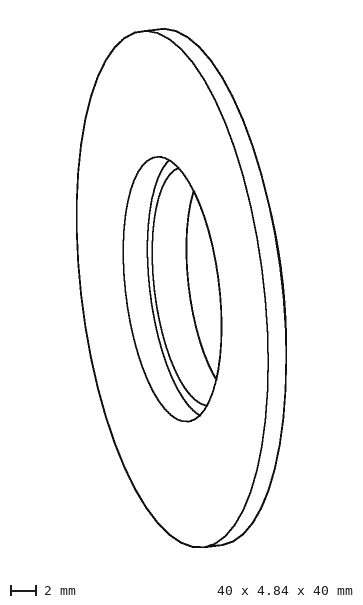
import cadquery as cq
import math

outer_diameter = 40.0
bore_diameter = 18.5
counterbore_diameter = 20.5
counterbore_depth = 2.0
rim_thickness = 1.5
total_thickness = 4.84

outer_radius = outer_diameter / 2
bore_radius = bore_diameter / 2
counterbore_radius = counterbore_diameter / 2

dome_rise = total_thickness - rim_thickness
sphere_center_y = rim_thickness - (outer_radius**2 - bore_radius**2 - dome_rise**2) / (2 * dome_rise)
sphere_radius = math.hypot(outer_radius, rim_thickness - sphere_center_y)
dome_mid_radius = (outer_radius + bore_radius) / 2
dome_mid_y = sphere_center_y + math.sqrt(sphere_radius**2 - dome_mid_radius**2)


def make_washer():
    """Revolve the half section (X = radius, Y = height) about the Y axis."""
    return (
        cq.Workplane("XY")
        .moveTo(counterbore_radius, 0)
        .lineTo(outer_radius, 0)
        .lineTo(outer_radius, rim_thickness)
        .threePointArc((dome_mid_radius, dome_mid_y), (bore_radius, total_thickness))
        .lineTo(bore_radius, counterbore_depth)
        .lineTo(counterbore_radius, counterbore_depth)
        .close()
        .revolve(360, (0, 0, 0), (0, 1, 0))
    )


result = make_washer()